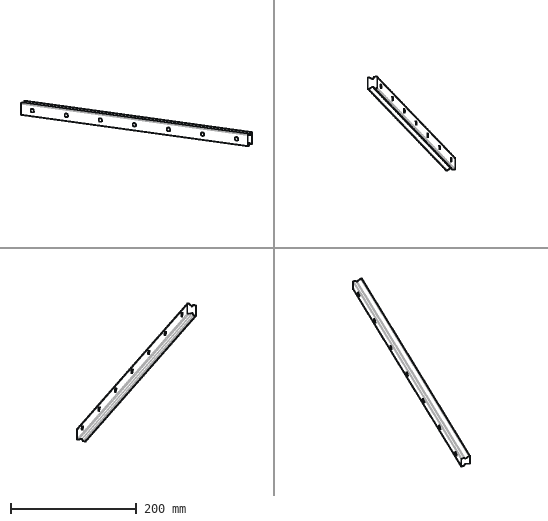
import cadquery as cq

length = 400.0
width = 15.5
height = 20.0

groove_depth = 3.8
groove_bottom_y = -1.0
groove_front_y = -3.0
groove_back_y = 5.5
groove_bottom_radius = 0.5

edge_radius = 1.0

hole_count = 7
hole_pitch = 60.0
hole_diameter = 6.0


def make_bar():
    """Rectangular rail blank."""
    return cq.Workplane("XY").box(length, width, height)


def make_groove(side):
    """Cutter for one V groove; side is 1 for the top, -1 for the bottom."""
    face_z = side * height / 2
    bottom_z = side * (height / 2 - groove_depth)
    bottom_edge = "<Z" if side > 0 else ">Z"
    return (
        cq.Workplane("YZ")
        .moveTo(groove_front_y, face_z)
        .lineTo(groove_bottom_y, bottom_z)
        .lineTo(groove_back_y, face_z)
        .close()
        .extrude(length / 2, both=True)
        .edges("|X")
        .edges(bottom_edge)
        .fillet(groove_bottom_radius)
    )


def make_holes():
    """Cutters for the evenly spaced, centred through holes."""
    return (
        cq.Workplane("XZ")
        .rarray(hole_pitch, 4, hole_count, 1)
        .circle(hole_diameter / 2)
        .extrude(width, both=True)
    )


rail = make_bar()
for groove_side in (1, -1):
    rail = rail.cut(make_groove(groove_side))

rail = rail.faces("<Z or >Z").edges("|X").fillet(edge_radius)

result = rail.cut(make_holes())